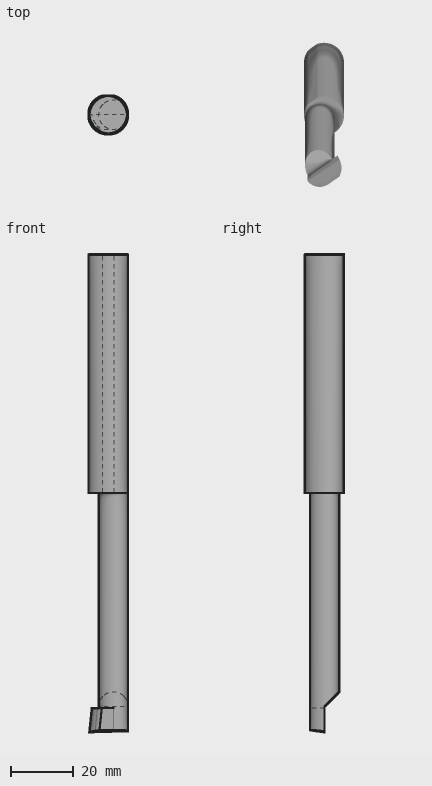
import cadquery as cq
import math

TOTAL_LENGTH = 152.39
SHANK_DIAMETER = 12.7
SHANK_LENGTH = 76.2
SHANK_FLAT_DEPTH = 0.25
SHANK_END_CHAMFER = 0.4
NECK_DIAMETER = 9.4

HEAD_TOP_Z = 7.7
TIP_X = -6.05
HEAD_SIDE_LEAN = 0.8
RELIEF_MIDDLE_X = -4.2
RELIEF_MIDDLE_Y = -3.6
RELIEF_BULGE = 0.3
RELIEF_HEEL_X = -2.85
RAKE_END_Z = 8.2
RAKE_RUNOUT_ANGLE = 45.0
END_CLEARANCE_RISE = 0.6
END_TRAIL_RISE = 0.35

SHANK_RADIUS = SHANK_DIAMETER / 2
NECK_RADIUS = NECK_DIAMETER / 2
NECK_X = SHANK_RADIUS - NECK_RADIUS
SHOULDER_Z = TOTAL_LENGTH - SHANK_LENGTH
CUT_MARGIN = 5.0


def make_shank():
    """Round shank with a chamfered end and a shallow flat along its +Y side."""
    shank = cq.Workplane("XY").workplane(offset=SHOULDER_Z).circle(SHANK_RADIUS).extrude(SHANK_LENGTH)
    shank = shank.faces(">Z").chamfer(SHANK_END_CHAMFER)
    keep = cq.Workplane("XY").box(
        SHANK_DIAMETER, SHANK_DIAMETER, SHANK_LENGTH, centered=(True, True, False)
    )
    return shank.intersect(keep.translate((0, -SHANK_FLAT_DEPTH, SHOULDER_Z)))


def make_neck():
    """Round neck, offset so that it is flush with the shank on the +X side."""
    return cq.Workplane("XY").center(NECK_X, 0).circle(NECK_RADIUS).extrude(SHOULDER_Z)


def add_head_outline(plane, lean):
    """Draw the head's outline on plane, with the cutting side moved toward +X by lean."""
    tip_x = TIP_X + lean
    middle_x = RELIEF_MIDDLE_X + lean
    chord = math.hypot(middle_x - tip_x, RELIEF_MIDDLE_Y)
    arc_x = (tip_x + middle_x) / 2 + RELIEF_BULGE * RELIEF_MIDDLE_Y / chord
    arc_y = RELIEF_MIDDLE_Y / 2 - RELIEF_BULGE * (middle_x - tip_x) / chord
    return (
        plane
        .moveTo(tip_x, 0)
        .threePointArc((arc_x, arc_y), (middle_x, RELIEF_MIDDLE_Y))
        .lineTo(RELIEF_HEEL_X + lean, -NECK_RADIUS)
        .lineTo(NECK_X, -NECK_RADIUS)
        .lineTo(NECK_X, 0)
        .close()
    )


def make_head():
    """Cutting head reaching from the neck out to the tip, its side leaning outward going down."""
    bottom = add_head_outline(cq.Workplane("XY"), 0)
    both_ends = add_head_outline(bottom.workplane(offset=HEAD_TOP_Z), HEAD_SIDE_LEAN)
    return both_ends.loft(ruled=True)


def make_rake_cut():
    """Waste above the rake face at Y = 0, with a sloped run-out into the neck."""
    depth = NECK_RADIUS + CUT_MARGIN
    runout = depth / math.tan(math.radians(RAKE_RUNOUT_ANGLE))
    return (
        cq.Workplane("YZ")
        .polyline([
            (0, -CUT_MARGIN),
            (depth, -CUT_MARGIN),
            (depth, RAKE_END_Z + runout),
            (0, RAKE_END_Z),
        ])
        .close()
        .extrude(SHANK_DIAMETER, both=True)
    )


def make_end_cut():
    """Waste below the end face, which rises from the tip toward +X and toward -Y."""
    trail_angle = math.degrees(math.atan2(END_TRAIL_RISE, SHANK_DIAMETER))
    clearance_angle = math.degrees(math.atan2(END_CLEARANCE_RISE, NECK_RADIUS))
    width = 2 * (SHANK_DIAMETER + CUT_MARGIN)
    waste = cq.Workplane("XY").box(width, width, CUT_MARGIN, centered=(True, True, False))
    waste = waste.translate((0, 0, -CUT_MARGIN))
    waste = waste.rotate((0, 0, 0), (1, 0, 0), -clearance_angle)
    waste = waste.rotate((0, 0, 0), (0, 1, 0), -trail_angle)
    return waste.translate((TIP_X, 0, 0))


tool = make_shank().union(make_neck()).union(make_head())
result = tool.cut(make_rake_cut()).cut(make_end_cut())